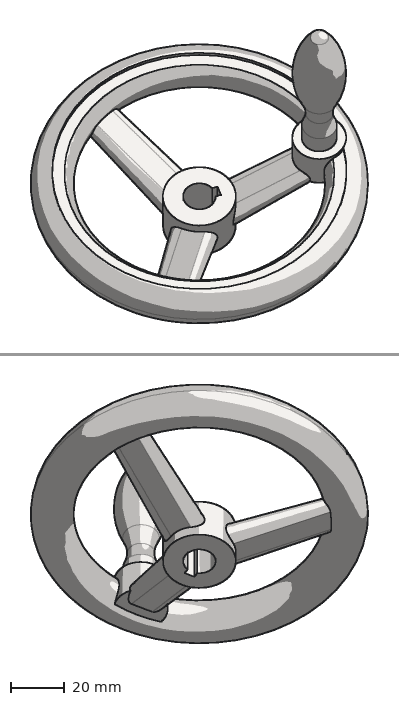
import cadquery as cq
import math

hub_diameter = 27.0
hub_height = 18.0
bore_diameter = 12.0
keyway_width = 4.0
keyway_top = 7.8

wheel_diameter = 125.0
rim_thickness = 16.0
rim_radius = rim_thickness / 2
rim_centre_radius = wheel_diameter / 2 - rim_radius
rim_centre_height = 25.8
rim_top = rim_centre_height + rim_radius
step_inner_radius = 50.0
step_floor = rim_centre_height + math.sqrt(rim_radius**2 - (rim_centre_radius - step_inner_radius)**2)

spoke_count = 3
spoke_flat_width = 8.7
spoke_start_radius = 9.0
spoke_start_height = 7.7
spoke_start_thickness = 9.0
spoke_end_thickness = 6.0

handle_position = 47.0
boss_diameter = 20.0
boss_bottom = 19.0
boss_top = rim_top

shank_radius = 6.5
shank_height = 8.1
neck_radius = 5.1
neck_height = 15.6
belly_start_radius = 6.8
belly_start_height = 23.9
belly_radius = 10.0
belly_height = 40.2
tip_radius = 3.4
tip_height = 62.3
overall_height = 97.79


def make_hub():
    return cq.Workplane("XY").circle(hub_diameter / 2).extrude(hub_height)


def make_bore():
    bore = cq.Workplane("XY").circle(bore_diameter / 2).extrude(hub_height)
    keyway = (
        cq.Workplane("XY")
        .rect(keyway_width, keyway_top, centered=(True, False))
        .extrude(hub_height)
    )
    return bore.union(keyway)


def make_rim():
    torus = (
        cq.Workplane("XZ")
        .center(rim_centre_radius, rim_centre_height)
        .circle(rim_radius)
        .revolve(360, (-rim_centre_radius, 0), (-rim_centre_radius, 1))
    )
    step = (
        cq.Workplane("XY", origin=(0, 0, step_floor))
        .circle(rim_centre_radius)
        .extrude(rim_radius)
    )
    return torus.cut(step)


def make_spoke():
    run = rim_centre_radius - spoke_start_radius
    rise = rim_centre_height - spoke_start_height
    section_plane = cq.Plane(
        origin=(0, spoke_start_radius, spoke_start_height),
        xDir=(1, 0, 0),
        normal=(0, run, rise),
    )
    return (
        cq.Workplane(section_plane)
        .slot2D(spoke_flat_width + spoke_start_thickness, spoke_start_thickness)
        .workplane(offset=math.hypot(run, rise))
        .slot2D(spoke_flat_width + spoke_end_thickness, spoke_end_thickness)
        .loft(ruled=True)
    )


def make_boss():
    return (
        cq.Workplane("XY", origin=(0, handle_position, boss_bottom))
        .circle(boss_diameter / 2)
        .extrude(boss_top - boss_bottom)
    )


def neck_arc_middle(end_radius, end_height):
    """Midpoint of the arc that leaves the neck vertically and ends at the given point."""
    radial = end_radius - neck_radius
    axial = end_height - neck_height
    arc_radius = (radial**2 + axial**2) / (2 * radial)
    half_angle = math.asin(axial / arc_radius) / 2
    return (
        neck_radius + arc_radius * (1 - math.cos(half_angle)),
        neck_height + arc_radius * math.sin(half_angle),
    )


def make_handle():
    top = overall_height - rim_top
    cap_height = top - tip_height
    cap_radius = (tip_radius**2 + cap_height**2) / (2 * cap_height)
    cap_middle_radius = tip_radius / 2
    cap_middle_height = top - cap_radius + math.sqrt(cap_radius**2 - cap_middle_radius**2)
    foot = boss_bottom - rim_top
    return (
        cq.Workplane("XZ", origin=(0, handle_position, rim_top))
        .moveTo(0, foot)
        .lineTo(shank_radius, foot)
        .lineTo(shank_radius, shank_height)
        .threePointArc(neck_arc_middle(shank_radius, shank_height), (neck_radius, neck_height))
        .threePointArc(
            neck_arc_middle(belly_start_radius, belly_start_height),
            (belly_start_radius, belly_start_height),
        )
        .threePointArc((belly_radius, belly_height), (tip_radius, tip_height))
        .threePointArc((cap_middle_radius, cap_middle_height), (0, top))
        .close()
        .revolve(360, (0, 0), (0, 1))
    )


wheel = make_hub().union(make_rim())
spoke = make_spoke()
for index in range(spoke_count):
    wheel = wheel.union(spoke.rotate((0, 0, 0), (0, 0, 1), index * 360 / spoke_count))

result = wheel.union(make_boss()).union(make_handle()).cut(make_bore())